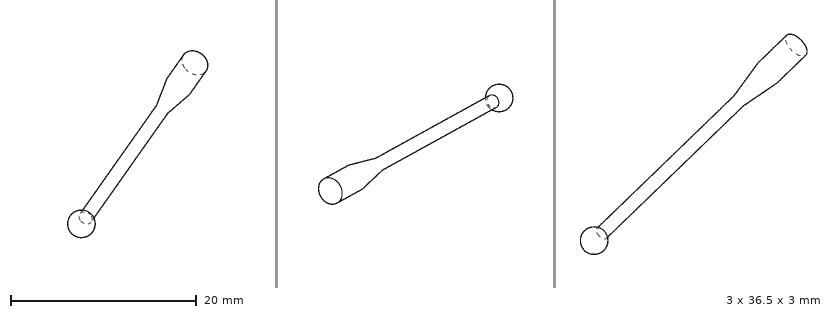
import cadquery as cq
import math

overall_length = 36.5
ball_radius = 1.5
shank_radius = ball_radius
stem_radius = ball_radius / 2
shank_length = 5.0
taper_length = shank_length

ball_tip = -ball_radius
shank_end = ball_tip + overall_length
taper_end = shank_end - shank_length
taper_start = taper_end - taper_length

stem_start = math.sqrt(ball_radius**2 - stem_radius**2)

half_profile = (
    cq.Workplane("XY")
    .moveTo(0, ball_tip)
    .threePointArc((ball_radius, 0), (stem_radius, stem_start))
    .lineTo(stem_radius, taper_start)
    .lineTo(shank_radius, taper_end)
    .lineTo(shank_radius, shank_end)
    .lineTo(0, shank_end)
    .close()
)

result = half_profile.revolve(360, (0, 0, 0), (0, 1, 0))